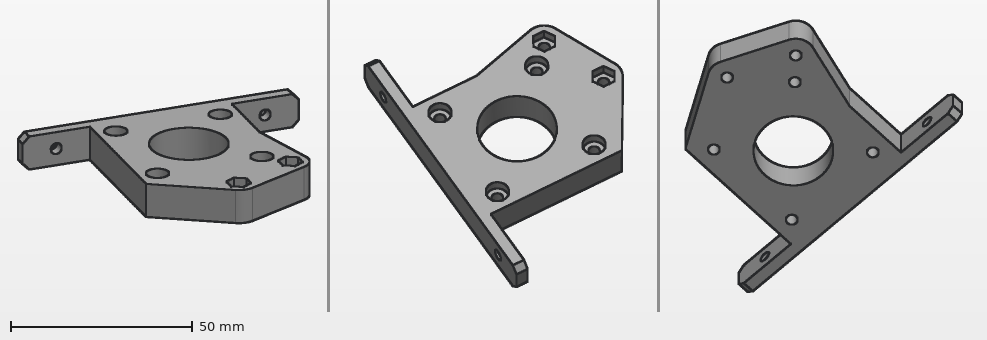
import cadquery as cq
import math

height = 10.0
flange_length = 82.0
flange_thickness = 3.6
flange_chamfer = 2.0
screw_diameter = 3.2
hole_pitch = 31.0

body_half_width = 21.1
bore_x = 24.5
bore_diameter = 22.0
counterbore_diameter = 6.4
counterbore_depth = 3.0

arm_start_x = 24.0
arm_radius = 5.3
upper_nut = (46.0, 21.6)
lower_nut = (54.0, 3.0)
nut_corner_diameter = 6.9
nut_depth = 3.0


def tangent_point(corner, center, radius, side):
    """Tangent point on a circle of a line from corner; side is +1 left of the line to center, else -1."""
    dx = center[0] - corner[0]
    dy = center[1] - corner[1]
    distance = math.hypot(dx, dy)
    angle = math.atan2(dy, dx) + math.pi - side * math.acos(radius / distance)
    return on_circle(center, radius, angle)


def on_circle(center, radius, angle):
    return (center[0] + radius * math.cos(angle), center[1] + radius * math.sin(angle))


def middle_of_arc(center, radius, start, end):
    """Middle of the short arc between two points of a circle."""
    dx = start[0] + end[0] - 2 * center[0]
    dy = start[1] + end[1] - 2 * center[1]
    return on_circle(center, radius, math.atan2(dy, dx))


def make_flange():
    return (
        cq.Workplane("XY")
        .box(flange_thickness, flange_length, height, centered=(False, True, False))
        .edges("|X")
        .chamfer(flange_chamfer)
    )


def make_body():
    top_corner = (arm_start_x, body_half_width)
    bottom_corner = (bore_x + body_half_width, -body_half_width)
    outer_normal = math.atan2(upper_nut[1] - lower_nut[1], upper_nut[0] - lower_nut[0]) - math.pi / 2
    lower_start = tangent_point(bottom_corner, lower_nut, arm_radius, -1)
    lower_end = on_circle(lower_nut, arm_radius, outer_normal)
    upper_start = on_circle(upper_nut, arm_radius, outer_normal)
    upper_end = tangent_point(top_corner, upper_nut, arm_radius, 1)
    return (
        cq.Workplane("XY")
        .moveTo(0, -body_half_width)
        .lineTo(*bottom_corner)
        .lineTo(*lower_start)
        .threePointArc(middle_of_arc(lower_nut, arm_radius, lower_start, lower_end), lower_end)
        .lineTo(*upper_start)
        .threePointArc(middle_of_arc(upper_nut, arm_radius, upper_start, upper_end), upper_end)
        .lineTo(*top_corner)
        .lineTo(0, body_half_width)
        .close()
        .extrude(height)
    )


def cut_motor_holes(part):
    top = cq.Workplane("XY", origin=(bore_x, 0, height))
    bore = top.circle(bore_diameter / 2).extrude(-height)
    corners = top.rect(hole_pitch, hole_pitch, forConstruction=True).vertices()
    screws = corners.circle(screw_diameter / 2).extrude(-height)
    counterbores = corners.circle(counterbore_diameter / 2).extrude(-counterbore_depth)
    return part.cut(bore).cut(screws).cut(counterbores)


def cut_nut_pockets(part):
    spots = cq.Workplane("XY", origin=(0, 0, height)).pushPoints([upper_nut, lower_nut])
    screws = spots.circle(screw_diameter / 2).extrude(-height)
    pockets = spots.polygon(6, nut_corner_diameter).extrude(-nut_depth)
    return part.cut(screws).cut(pockets)


def cut_flange_holes(part):
    holes = (
        cq.Workplane("YZ")
        .pushPoints([(-hole_pitch, height / 2), (hole_pitch, height / 2)])
        .circle(screw_diameter / 2)
        .extrude(flange_thickness)
    )
    return part.cut(holes)


result = make_flange().union(make_body())
result = cut_motor_holes(result)
result = cut_nut_pockets(result)
result = cut_flange_holes(result)